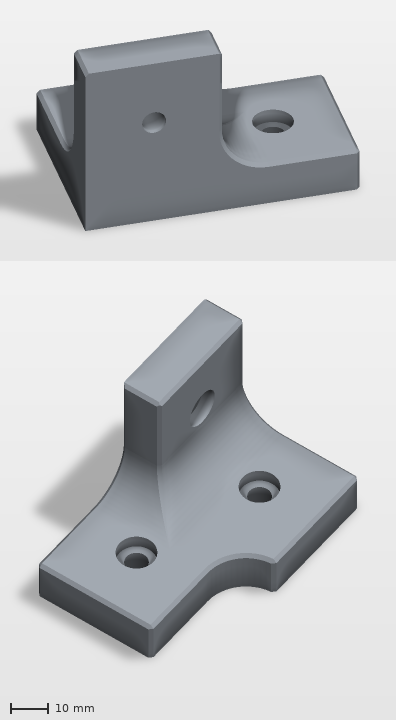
import cadquery as cq
import math

UNIT = 12.7
LENGTH_X = 4 * UNIT
LENGTH_Y = 6 * UNIT
HEIGHT = 4 * UNIT
THICKNESS = UNIT
RADIUS = UNIT
CHAMFER = 1.0

NOTCH_X = RADIUS
WIDE_Y = 3 * UNIT
WALL_X = LENGTH_X - THICKNESS

HOLE_DIAMETER = 6.6
BORE_DIAMETER = 11.18
BORE_DEPTH = 4.0
BASE_HOLES = [(1.5 * UNIT, 1.5 * UNIT), (2.5 * UNIT, 4.5 * UNIT)]
WALL_HOLE_Y = 1.5 * UNIT
WALL_HOLE_Z = 2.5 * UNIT

NOTCH_CENTER_Y = WIDE_Y + RADIUS
ARC_CENTER_Z = THICKNESS + RADIUS
ARC_MIDDLE = RADIUS * math.sqrt(0.5)


def base_footprint():
    """L-shaped footprint with a concave corner, extruded to the full height."""
    arc_middle = (ARC_MIDDLE, NOTCH_CENTER_Y - ARC_MIDDLE)
    return (
        cq.Workplane("XY")
        .moveTo(0, 0)
        .lineTo(LENGTH_X, 0)
        .lineTo(LENGTH_X, LENGTH_Y)
        .lineTo(NOTCH_X, LENGTH_Y)
        .lineTo(NOTCH_X, NOTCH_CENTER_Y)
        .threePointArc(arc_middle, (0, WIDE_Y))
        .close()
        .extrude(HEIGHT)
    )


def stepped_section(plane, base_end, wall_face, wall_back, extrusion):
    """Base and wall in section, joined by a concave arc; the wall rises at the wall_back end."""
    toward_wall = math.copysign(1, wall_back - base_end)
    arc_center = wall_face - toward_wall * RADIUS
    arc_middle = (arc_center + toward_wall * ARC_MIDDLE, ARC_CENTER_Z - ARC_MIDDLE)
    return (
        cq.Workplane(plane)
        .moveTo(base_end, 0)
        .lineTo(wall_back, 0)
        .lineTo(wall_back, HEIGHT)
        .lineTo(wall_face, HEIGHT)
        .lineTo(wall_face, ARC_CENTER_Z)
        .threePointArc(arc_middle, (arc_center, THICKNESS))
        .lineTo(base_end, THICKNESS)
        .close()
        .extrude(extrusion)
    )


def sharp_body():
    """Footprint cut by both sections, so the two concave arcs meet in a mitre."""
    section_along_x = stepped_section("XZ", 0, WALL_X, LENGTH_X, -LENGTH_Y)
    section_along_y = stepped_section("YZ", LENGTH_Y, WIDE_Y, 0, LENGTH_X)
    return base_footprint().intersect(section_along_x).intersect(section_along_y)


def chamfer_edges(body):
    """Chamfer the exposed edges; each chamfer also runs on along tangent edges."""
    wall_side_z = (ARC_CENTER_Z + HEIGHT) / 2
    base_side_z = THICKNESS / 2
    edge_centers = [
        (WALL_X, WIDE_Y / 2, HEIGHT),
        ((WALL_X + LENGTH_X) / 2, 0, HEIGHT),
        ((WALL_X + LENGTH_X) / 2, WIDE_Y, HEIGHT),
        (WALL_X, 0, wall_side_z),
        (LENGTH_X, WIDE_Y, wall_side_z),
        (0, WIDE_Y / 2, THICKNESS),
        (NOTCH_X, (NOTCH_CENTER_Y + LENGTH_Y) / 2, THICKNESS),
        ((NOTCH_X + LENGTH_X) / 2, LENGTH_Y, THICKNESS),
        (0, 0, base_side_z),
        (0, WIDE_Y, base_side_z),
        (NOTCH_X, LENGTH_Y, base_side_z),
        (LENGTH_X, LENGTH_Y, base_side_z),
    ]
    edges = [body.edges(cq.NearestToPointSelector(center)).val() for center in edge_centers]
    return body.newObject(edges).chamfer(CHAMFER)


def mitre_cutter():
    """Chamfer on the wall's outer corner, narrowing to nothing down the mitre of the concave arcs.

    It is drawn in the mitre plane from the tip of the mitre, where the chamfer follows a quarter ellipse.
    """
    corner_reach = (2 * RADIUS + CHAMFER) * math.sqrt(0.5)
    mitre_plane = cq.Plane(
        origin=(WALL_X - RADIUS, WIDE_Y + RADIUS, 0),
        xDir=(1, -1, 0),
        normal=(-1, -1, 0),
    )
    return (
        cq.Workplane(mitre_plane)
        .workplane(offset=-CHAMFER)
        .moveTo(0, THICKNESS)
        .ellipseArc(corner_reach, RADIUS, 270, 360, startAtCurrent=True)
        .lineTo(corner_reach, HEIGHT)
        .lineTo(0, HEIGHT)
        .close()
        .extrude(2 * CHAMFER)
    )


def counterbored_hole(face_point, direction):
    """Cutter for a screw hole through one thickness, counterbored from face_point."""
    point = cq.Vector(*face_point)
    axis = cq.Vector(*direction)
    hole = cq.Solid.makeCylinder(HOLE_DIAMETER / 2, THICKNESS, point, axis)
    bore = cq.Solid.makeCylinder(BORE_DIAMETER / 2, BORE_DEPTH, point, axis)
    return hole.fuse(bore)


result = chamfer_edges(sharp_body()).cut(mitre_cutter())
for hole_x, hole_y in BASE_HOLES:
    result = result.cut(counterbored_hole((hole_x, hole_y, THICKNESS), (0, 0, -1)))
result = result.cut(counterbored_hole((WALL_X, WALL_HOLE_Y, WALL_HOLE_Z), (1, 0, 0)))